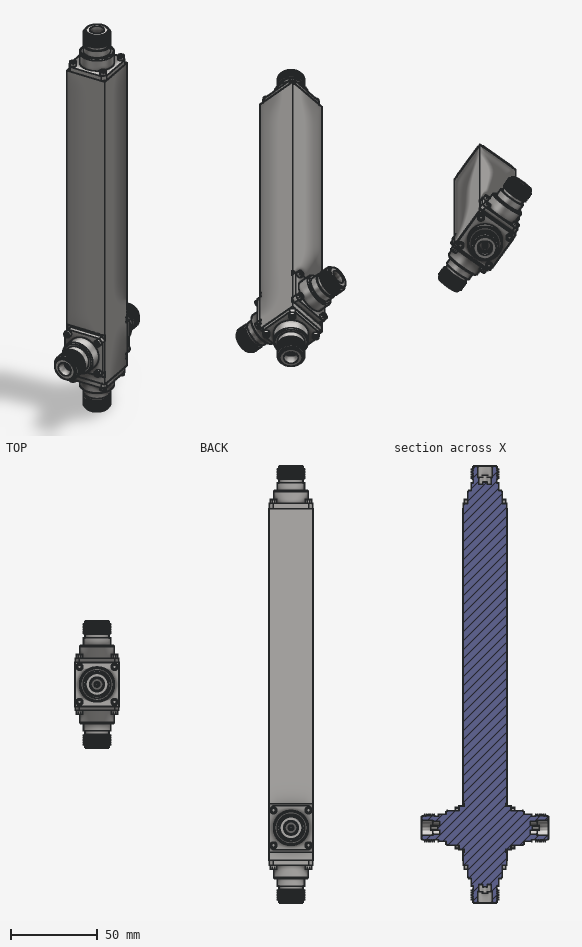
import cadquery as cq

total_length = 252.0
body_width = 25.5
half_width = body_width / 2

connector_length = 24.7
flange_width = 25.2
flange_thickness = 3.0
flange_corner_chamfer = 2.3
base_diameter = 20.2
base_end = 10.5
base_chamfer = 0.8
sleeve_diameter = 16.0
sleeve_end = 14.9
neck_diameter = 13.9
thread_start = 17.0
thread_crest_diameter = 16.0
thread_pitch = 1.05
thread_ridges = 6
tip_chamfer = 0.5

bore_diameter = 8.3
bore_depth = 6.5
inner_bore_diameter = 7.0
inner_bore_depth = 10.5
contact_diameter = 3.0
contact_hole_diameter = 1.5
contact_recess = 5.5
contact_hole_depth = 3.8

screw_pitch = 20.2
screw_head_diameter = 3.8
screw_head_height = 2.3
socket_across_corners = 2.5
socket_depth = 1.3

side_connector_z = 43.3
recess_height = 28.0
recess_depth = 0.8

body_bottom = connector_length
body_length = total_length - 2 * connector_length


def make_shell():
    """Turned outside of the connector, including the thread ridges."""
    base_radius = base_diameter / 2
    sleeve_radius = sleeve_diameter / 2
    neck_radius = neck_diameter / 2
    crest_radius = thread_crest_diameter / 2
    profile = (
        cq.Workplane("XZ")
        .lineTo(base_radius, 0)
        .lineTo(base_radius, base_end - base_chamfer)
        .lineTo(base_radius - base_chamfer, base_end)
        .lineTo(sleeve_radius, base_end)
        .lineTo(sleeve_radius, sleeve_end)
        .lineTo(neck_radius, sleeve_end)
        .lineTo(neck_radius, thread_start)
    )
    for ridge in range(thread_ridges):
        ridge_start = thread_start + ridge * thread_pitch
        profile = profile.lineTo(crest_radius, ridge_start + thread_pitch / 2)
        profile = profile.lineTo(neck_radius, ridge_start + thread_pitch)
    profile = (
        profile.lineTo(neck_radius, connector_length - tip_chamfer)
        .lineTo(neck_radius - tip_chamfer, connector_length)
        .lineTo(0, connector_length)
        .close()
    )
    return profile.revolve(360, (0, 0, 0), (0, 1, 0))


def cylinder_down(diameter, top, depth):
    return cq.Workplane("XY").workplane(offset=top).circle(diameter / 2).extrude(-depth)


def make_socket():
    """Stepped bore around the centre contact, as a solid to be cut away."""
    contact_top = connector_length - contact_recess
    bore = cylinder_down(bore_diameter, connector_length, bore_depth)
    inner_bore = cylinder_down(inner_bore_diameter, connector_length, inner_bore_depth)
    contact = cylinder_down(contact_diameter, contact_top, inner_bore_depth - contact_recess)
    contact_hole = cylinder_down(contact_hole_diameter, contact_top, contact_hole_depth)
    return bore.union(inner_bore).cut(contact).union(contact_hole)


def make_flange():
    """Square flange with chamfered corners and four socket-head screws."""
    flange = (
        cq.Workplane("XY")
        .rect(flange_width, flange_width)
        .extrude(flange_thickness)
        .edges("|Z")
        .chamfer(flange_corner_chamfer)
    )
    heads = (
        cq.Workplane("XY")
        .rect(screw_pitch, screw_pitch, forConstruction=True)
        .vertices()
        .circle(screw_head_diameter / 2)
        .extrude(flange_thickness + screw_head_height)
    )
    sockets = (
        cq.Workplane("XY")
        .workplane(offset=flange_thickness + screw_head_height)
        .rect(screw_pitch, screw_pitch, forConstruction=True)
        .vertices()
        .polygon(6, socket_across_corners)
        .extrude(-socket_depth)
    )
    return flange.union(heads).cut(sockets)


def make_connector():
    """Complete connector pointing along +Z, with the back of its flange at Z = 0."""
    return make_flange().union(make_shell()).cut(make_socket())


def make_body():
    body = (
        cq.Workplane("XY")
        .workplane(offset=body_bottom)
        .rect(body_width, body_width)
        .extrude(body_length)
    )
    for side in (-1, 1):
        recess = cq.Workplane("XY").box(flange_width, 2 * recess_depth, recess_height)
        body = body.cut(recess.translate((0, side * half_width, side_connector_z)))
    return body


connector = make_connector()
x_axis_point = (1, 0, 0)
origin = (0, 0, 0)
seat_offset = half_width - recess_depth

top_connector = connector.translate((0, 0, body_bottom + body_length))
bottom_connector = connector.rotate(origin, x_axis_point, 180).translate((0, 0, body_bottom))
front_connector = connector.rotate(origin, x_axis_point, 90).translate((0, -seat_offset, side_connector_z))
back_connector = connector.rotate(origin, x_axis_point, -90).translate((0, seat_offset, side_connector_z))

result = make_body()
for placed_connector in (top_connector, bottom_connector, front_connector, back_connector):
    result = result.union(placed_connector)